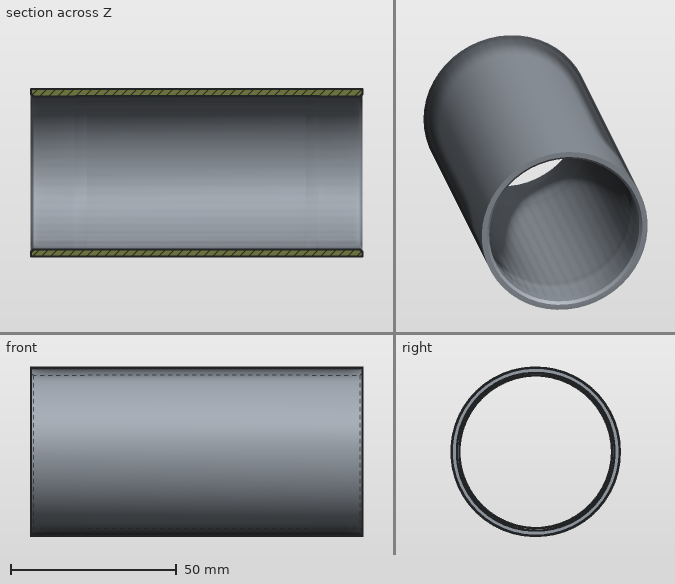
import cadquery as cq

length = 100.0
outer_radius = 50.8 / 2
end_bore_radius = 23.0
middle_bore_radius = 23.1

chamfer = 0.8
land_length = 12.2
taper_length = 4.0

half_length = length / 2
land_start = half_length - chamfer
taper_start = land_start - land_length
taper_end = taper_start - taper_length

half_section = [
    (half_length, outer_radius),
    (half_length, end_bore_radius + chamfer),
    (land_start, end_bore_radius),
    (taper_start, end_bore_radius),
    (taper_end, middle_bore_radius),
]
mirrored_section = [(-x, radius) for x, radius in reversed(half_section)]

result = (
    cq.Workplane("XY")
    .polyline(half_section + mirrored_section)
    .close()
    .revolve(360, (0, 0, 0), (1, 0, 0))
)